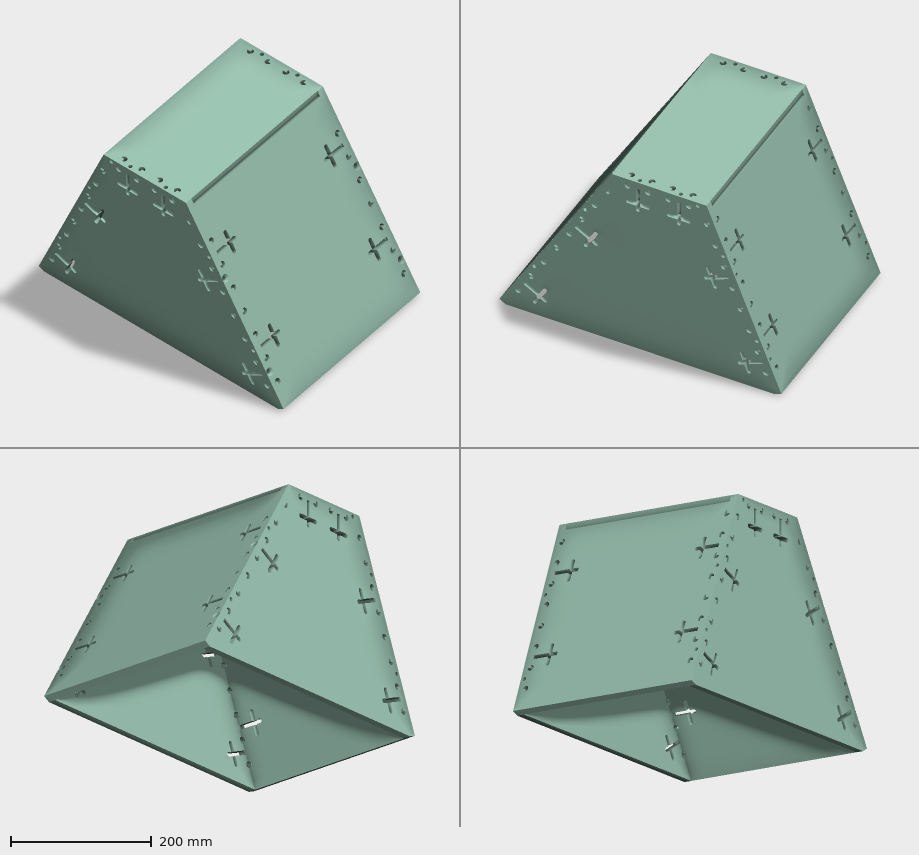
import cadquery as cq
import math

WIDTH = 452.5
DEPTH = 304.5
HEIGHT = 306.0
BOARD = 11.8
LEFT_ANGLE = math.radians(68.3)
RIGHT_ANGLE = math.radians(59.0)

SIDE_FINGERS = 9
TOP_FINGERS = 5

RELIEF_DIAMETER = 10.0
BOLT_HOLE = 6.5
COUNTERSINK_DIAMETER = 12.5
BOLT_SLOT_WIDTH = 6.5
BOLT_SLOT_DEPTH = 53.5
NUT_SLOT_WIDTH = 7.0
NUT_SLOT_LENGTH = 38.5
NUT_SLOT_DEPTH = 40.5

TOP_LEFT_X = -WIDTH / 2 + (HEIGHT - BOARD * math.cos(LEFT_ANGLE)) / math.tan(LEFT_ANGLE)
TOP_RIGHT_X = WIDTH / 2 - (HEIGHT - BOARD * math.cos(RIGHT_ANGLE)) / math.tan(RIGHT_ANGLE)


class Joint:
    """One edge of the walls and the board that is fingered into it.

    Distances `s` run along the edge from `origin`, on the outer face of the board, in the direction
    `along`; `inward` points into the box. Finger numbers count from `origin`.
    """

    def __init__(self, origin, along, inward, pitch, start, end):
        self.origin = origin
        self.along = along
        self.inward = inward
        self.pitch = pitch
        self.start = start
        self.end = end

    def middle(self, finger):
        """Middle of the part of a finger that lies on the board."""
        return (max(finger * self.pitch, self.start) + min((finger + 1) * self.pitch, self.end)) / 2

    def board_plane(self):
        """Local x along the edge, local y along the depth, extruding into the box."""
        return cq.Workplane(cq.Plane(self.origin, self.along, self.inward))

    def wall_plane(self):
        """Local x along the edge, local y into the box."""
        normal = cq.Vector(*self.along).cross(cq.Vector(*self.inward))
        return cq.Workplane(cq.Plane(self.origin, self.along, normal.toTuple()))


def sloping_joint(side, angle, top_corner_x):
    """Joint of a sloping board, from its foot up; side is -1 for the left board and 1 for the right."""
    origin = (side * WIDTH / 2, 0, BOARD * math.cos(angle))
    along = (-side * math.cos(angle), 0, math.sin(angle))
    inward = (-side * math.sin(angle), 0, -math.cos(angle))
    end = (top_corner_x - origin[0]) * along[0] + (HEIGHT - BOARD - origin[2]) * along[2]
    pitch = HEIGHT / math.sin(angle) / SIDE_FINGERS
    return Joint(origin, along, inward, pitch, 0, end)


def top_joint():
    """Joint of the top board; its fingers divide the width between the slopes at its lower face."""
    left_overhang = BOARD / math.tan(LEFT_ANGLE)
    right_overhang = BOARD / math.tan(RIGHT_ANGLE)
    length = TOP_RIGHT_X - TOP_LEFT_X
    origin = (TOP_LEFT_X - left_overhang, 0, HEIGHT)
    pitch = (left_overhang + length + right_overhang) / TOP_FINGERS
    return Joint(origin, (1, 0, 0), (0, 0, -1), pitch, left_overhang, left_overhang + length)


LEFT = sloping_joint(-1, LEFT_ANGLE, TOP_LEFT_X)
RIGHT = sloping_joint(1, RIGHT_ANGLE, TOP_RIGHT_X)
TOP = top_joint()

LEFT_NOTCHES = (0, 2, 4, 6, 8)
RIGHT_NOTCHES = (0, 2, 4, 6)
TOP_NOTCHES = (0, 2, 4)
SIDE_TABS = (1, 3, 5, 7)
SIDE_WALL_SLOTS = (1, 5)
SIDE_BOARD_SLOTS = (2, 6)
TOP_TABS = (1, 3)
TOP_WALL_SLOTS = (1, 3)
TOP_WALL_HOLES = (0,)
NO_SLOTS = ()


def bolt_slot(plane, s, edge, direction):
    """Cross-shaped cutter at s, running from local y = edge along local +y (1) or -y (-1)."""
    bolt = (
        plane.center(s, edge + direction * BOLT_SLOT_DEPTH / 2)
        .slot2D(BOLT_SLOT_DEPTH, BOLT_SLOT_WIDTH, 90)
        .extrude(BOARD, both=True)
    )
    nut = (
        plane.center(s, edge + direction * NUT_SLOT_DEPTH)
        .slot2D(NUT_SLOT_LENGTH, NUT_SLOT_WIDTH)
        .extrude(BOARD, both=True)
    )
    return bolt.union(nut)


def countersink(plane):
    """Cone that narrows at 45 degrees from the outer face of a board to its bolt hole."""
    depth = (COUNTERSINK_DIAMETER - BOLT_HOLE) / 2
    return (
        plane.circle(COUNTERSINK_DIAMETER / 2)
        .workplane(offset=depth)
        .circle(BOLT_HOLE / 2)
        .loft()
    )


def board(joint, notches, slots, holes, countersunk=False):
    """Flat board with the same notches, bolt slots and bolt holes along its front and back edges.

    Its holes line up with the bolt slots of the walls, and its slots with their holes.
    """
    plane = joint.board_plane()
    body = (
        plane.center((joint.start + joint.end) / 2, 0)
        .rect(joint.end - joint.start, DEPTH)
        .extrude(BOARD)
    )
    for side in (-1, 1):
        edge = side * DEPTH / 2
        notch_floor = edge - side * BOARD
        for finger in notches:
            low = max(finger * joint.pitch, joint.start)
            high = min((finger + 1) * joint.pitch, joint.end)
            notch = plane.center((low + high) / 2, edge - side * BOARD / 2).rect(high - low, BOARD)
            body = body.cut(notch.extrude(BOARD))
            corners = [(s, notch_floor) for s in (low, high) if joint.start < s < joint.end]
            body = body.cut(plane.pushPoints(corners).circle(RELIEF_DIAMETER / 2).extrude(BOARD))
        for finger in slots:
            body = body.cut(bolt_slot(plane, joint.middle(finger), edge, -side))
        for finger in holes:
            hole_plane = plane.center(joint.middle(finger), edge - side * BOARD / 2)
            body = body.cut(hole_plane.circle(BOLT_HOLE / 2).extrude(BOARD))
            if countersunk:
                body = body.cut(countersink(hole_plane))
    return body


def cut_wall_joint(wall, joint, tabs, slots, holes):
    """Cut the recesses for a board's tabs, the bolt slots and the bolt holes along one wall edge."""
    plane = joint.wall_plane()
    for finger in tabs:
        low = finger * joint.pitch
        high = low + joint.pitch
        recess = plane.center((low + high) / 2, BOARD / 2).rect(joint.pitch, BOARD)
        wall = wall.cut(recess.extrude(BOARD, both=True))
        corners = plane.pushPoints([(low, BOARD), (high, BOARD)])
        wall = wall.cut(corners.circle(RELIEF_DIAMETER / 2).extrude(BOARD, both=True))
    for finger in slots:
        wall = wall.cut(bolt_slot(plane, joint.middle(finger), 0, 1))
    for finger in holes:
        hole = plane.center(joint.middle(finger), BOARD / 2).circle(BOLT_HOLE / 2)
        wall = wall.cut(hole.extrude(BOARD, both=True))
    return wall


def wall():
    """Trapezoidal wall, centred on Y = 0."""
    left_foot_inset = BOARD * math.sin(LEFT_ANGLE)
    right_foot_inset = BOARD * math.sin(RIGHT_ANGLE)
    outline = [
        (TOP_LEFT_X, HEIGHT),
        (TOP_RIGHT_X, HEIGHT),
        (WIDTH / 2, BOARD * math.cos(RIGHT_ANGLE)),
        (WIDTH / 2 - right_foot_inset, 0),
        (-WIDTH / 2 + left_foot_inset, 0),
        (-WIDTH / 2, BOARD * math.cos(LEFT_ANGLE)),
    ]
    body = cq.Workplane("XZ").polyline(outline).close().extrude(BOARD / 2, both=True)
    for joint in (LEFT, RIGHT):
        body = cut_wall_joint(body, joint, SIDE_TABS, SIDE_WALL_SLOTS, SIDE_BOARD_SLOTS)
    body = cut_wall_joint(body, TOP, TOP_TABS, TOP_WALL_SLOTS, TOP_WALL_HOLES)
    end_start = (SIDE_TABS[-1] + 1) * RIGHT.pitch
    end_recess = (
        RIGHT.wall_plane()
        .center((end_start + RIGHT.end) / 2, BOARD / 2)
        .rect(RIGHT.end - end_start, BOARD)
        .extrude(BOARD, both=True)
    )
    return body.cut(end_recess)


left_board = board(LEFT, LEFT_NOTCHES, SIDE_BOARD_SLOTS, SIDE_WALL_SLOTS)
right_board = board(RIGHT, RIGHT_NOTCHES, SIDE_BOARD_SLOTS, SIDE_WALL_SLOTS, countersunk=True)
top_board = board(TOP, TOP_NOTCHES, NO_SLOTS, TOP_WALL_SLOTS)
walls = [wall().translate((0, side * (DEPTH - BOARD) / 2, 0)) for side in (-1, 1)]

result = cq.Compound.makeCompound(
    [left_board.val(), right_board.val(), top_board.val(), *[body.val() for body in walls]]
)